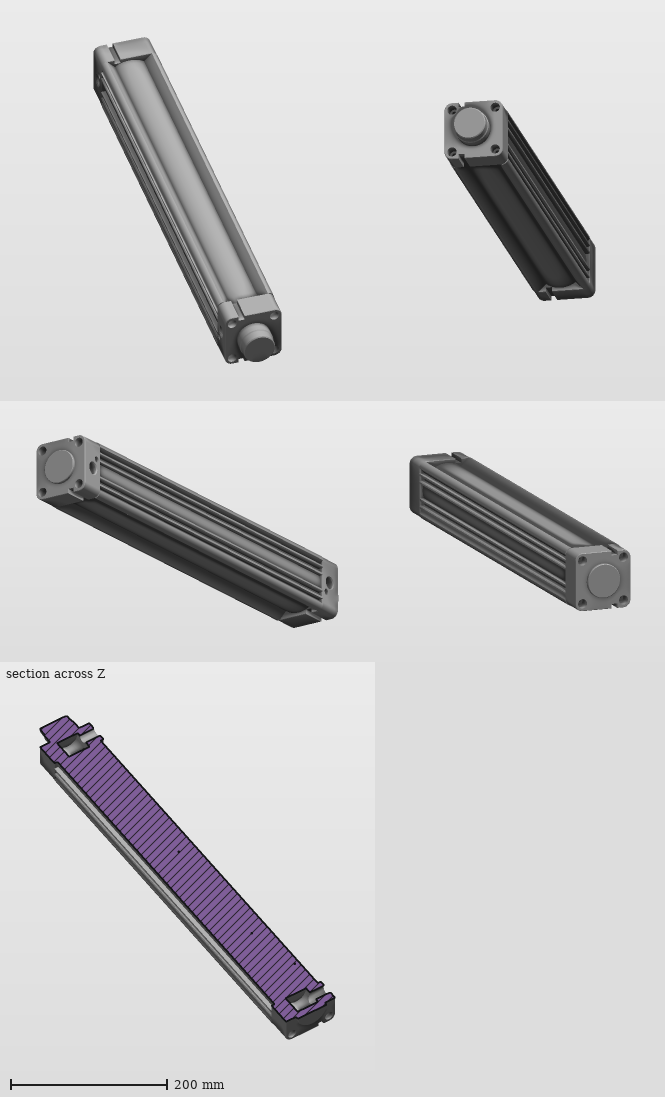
import cadquery as cq

size = 76.0
half = size / 2
total_length = 602.0
collar_radius = 22.5
rear_collar_length = 4.0
rear_collar_chamfer = 0.8
cap_length = 34.3
front_cap_end = 575.2
front_collar_length = 13.4

bolt_offset = 28.25
bolt_diameter = 6.6
bolt_recess_diameter = 12.2
bolt_recess_depth = 16.0
cap_corner_radius = half - bolt_offset
cap_edge_chamfer = 0.6

cap_groove_y = -15.8
cap_groove_width = 8.0
cap_groove_depth = 6.0

tube_corner_radius = 8.0
barrel_radius = 33.5
flank_start = half - tube_corner_radius
rail_height = 16.3
rail_width = 13.0
rail_depth = 15.0
slot_width = 6.0
slot_mouth_chamfer = 1.2
slot_depth = flank_start - (rail_height + rail_width / 2)

chamber_radius = 15.5
chamber_wall = 7.0
port_diameter = 15.2
port_chamfer = 1.3
port_chamfer_angle = 45
port_inset = 18.8
port_height = 3.4
screw_diameter = 4.4
screw_recess_diameter = 8.2
screw_recess_depth = 4.0
screw_inset = 26.5
screw_height = 10.9

nose_step_length = 1.5
nose_root_radius = 21.5
nose_tip_radius = 21.0
nose_chamfer = 1.2

rear_cap_start = rear_collar_length
rear_cap_end = rear_cap_start + cap_length
front_cap_start = front_cap_end - cap_length
front_collar_end = front_cap_end + front_collar_length
tube_length = front_cap_start - rear_cap_end
chamber_length = cap_length - chamber_wall


def yz_plane(x):
    """Workplane across the cylinder axis, local x = Y and local y = Z."""
    return cq.Workplane("YZ", origin=(x, 0, 0))


def end_cap(x_start):
    """Square cap with rounded corners and a groove along its top and bottom."""
    cap = yz_plane(x_start).rect(size, size).extrude(cap_length)
    cap = cap.edges("|X").fillet(cap_corner_radius)
    cap = cap.faces("<X or >X").chamfer(cap_edge_chamfer)
    for side in (1, -1):
        groove_center = side * (half - cap_groove_depth / 2)
        groove = (
            yz_plane(x_start)
            .center(cap_groove_y, groove_center)
            .rect(cap_groove_width, cap_groove_depth)
            .extrude(cap_length)
        )
        cap = cap.cut(groove)
    return cap


def tube_blank():
    """Four corner ribs with 45 degree flanks around a round barrel."""
    body = yz_plane(rear_cap_end).rect(size, size).extrude(tube_length)
    body = body.edges("|X").fillet(tube_corner_radius)
    flank_apex = half - flank_start
    recess = (
        yz_plane(rear_cap_end)
        .polyline([(-flank_start, half), (flank_start, half), (0, flank_apex)])
        .close()
        .extrude(tube_length)
    )
    for turn in (0, 90, 180, 270):
        body = body.cut(recess.rotate((0, 0, 0), (1, 0, 0), turn))
    barrel = yz_plane(rear_cap_end).circle(barrel_radius).extrude(tube_length)
    return body.union(barrel)


def side_strip(side, height, width, depth):
    """Full-length rectangular strip on the -Y or +Y side, reaching down from the outer face."""
    return (
        yz_plane(rear_cap_end)
        .center(side * (half - depth / 2), height)
        .rect(depth, width)
        .extrude(tube_length)
    )


def slot_mouth(side, height):
    """Wedge that chamfers both edges of a sensor slot."""
    mouth_half = slot_width / 2 + slot_mouth_chamfer
    return (
        yz_plane(rear_cap_end)
        .polyline([
            (side * half, height - mouth_half),
            (side * half, height + mouth_half),
            (side * (half - mouth_half), height),
        ])
        .close()
        .extrude(tube_length)
    )


def tube():
    body = tube_blank()
    for side in (-1, 1):
        for height in (-rail_height, rail_height):
            body = body.union(side_strip(side, height, rail_width, rail_depth))
            body = body.cut(side_strip(side, height, slot_width, slot_depth))
            body = body.cut(slot_mouth(side, height))
    return body


def rear_collar():
    collar = yz_plane(0).circle(collar_radius).extrude(rear_collar_length)
    return collar.faces("<X").chamfer(rear_collar_chamfer)


def front_nose():
    """Collar, short conical step and a slightly tapered, chamfered nose, turned about X."""
    outline = [
        (front_cap_end, 0),
        (front_cap_end, collar_radius),
        (front_collar_end, collar_radius),
        (front_collar_end + nose_step_length, nose_root_radius),
        (total_length - nose_chamfer, nose_tip_radius),
        (total_length, nose_tip_radius - nose_chamfer),
        (total_length, 0),
    ]
    return cq.Workplane("XZ").polyline(outline).close().revolve(360, (0, 0, 0), (1, 0, 0))


def bolt_holes():
    """Four through holes, each recessed in the outer face of both caps."""
    spacing = 2 * bolt_offset
    cap_span = front_cap_end - rear_cap_start
    holes = yz_plane(rear_cap_start).rect(spacing, spacing, forConstruction=True).vertices()
    cutter = holes.circle(bolt_diameter / 2).extrude(cap_span)
    for recess_start in (rear_cap_start, front_cap_end - bolt_recess_depth):
        recesses = yz_plane(recess_start).rect(spacing, spacing, forConstruction=True).vertices()
        cutter = cutter.union(recesses.circle(bolt_recess_diameter / 2).extrude(bolt_recess_depth))
    return cutter


def side_bore(x, z, diameter, depth):
    """Round cutter going in from the -Y face of a cap."""
    return cq.Workplane("XZ", origin=(x, -half, z)).circle(diameter / 2).extrude(-depth)


def air_port(x, z):
    """Port with a chamfered mouth, opening into the cushion chamber."""
    mouth_radius = port_diameter / 2 + port_chamfer
    mouth = (
        cq.Workplane("XZ", origin=(x, -half, z))
        .circle(mouth_radius)
        .extrude(-port_chamfer, taper=port_chamfer_angle)
    )
    return side_bore(x, z, port_diameter, half).union(mouth)


def cushion_screw(x, z):
    """Recessed screw hole, opening into the cushion chamber."""
    recess = side_bore(x, z, screw_recess_diameter, screw_recess_depth)
    return side_bore(x, z, screw_diameter, half).union(recess)


def cushion_chamber(x_start):
    return yz_plane(x_start).circle(chamber_radius).extrude(chamber_length)


def air_passages():
    """Cushion chamber in each cap with its air port and cushioning screw hole."""
    return (
        cushion_chamber(rear_cap_start + chamber_wall)
        .union(cushion_chamber(front_cap_start))
        .union(air_port(rear_cap_start + port_inset, -port_height))
        .union(air_port(front_cap_end - port_inset, port_height))
        .union(cushion_screw(rear_cap_start + screw_inset, screw_height))
        .union(cushion_screw(front_cap_end - screw_inset, -screw_height))
    )


result = (
    tube()
    .union(end_cap(rear_cap_start))
    .union(end_cap(front_cap_start))
    .union(rear_collar())
    .union(front_nose())
    .cut(bolt_holes())
    .cut(air_passages())
)